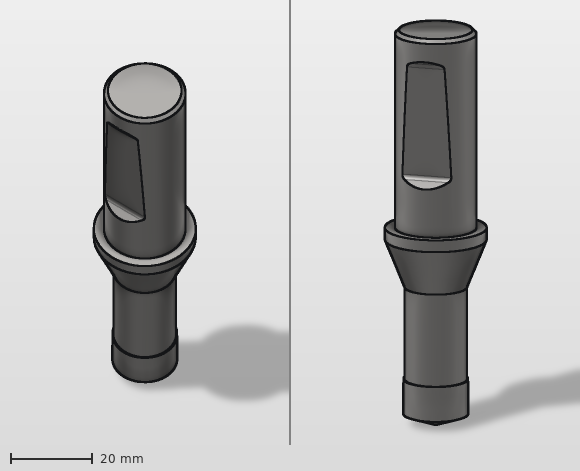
import cadquery as cq
import math

total_length = 99.9
collar_top = total_length / 2
collar_height = 3.0
cone_height = 12.0
head_top = 11.7

shank_diameter = 20.0
collar_diameter = 25.0
neck_diameter = 15.4
head_diameter = 16.0
head_top_diameter = 15.9
shank_chamfer = 1.0

point_angle = 20.0
point_height = head_diameter / 2 * math.tan(math.radians(point_angle))

flat_bottom = 64.2
flat_top = 93.0
flat_bottom_depth = 2.2
flat_slope = 2.0
flat_end_fillet = 1.6
cutter_overhang = 2.0


def make_shank_profile():
    """Body of revolution: neck, cone, collar and chamfered shank."""
    neck_radius = neck_diameter / 2
    collar_radius = collar_diameter / 2
    shank_radius = shank_diameter / 2
    collar_bottom = collar_top - collar_height
    return (
        cq.Workplane("XZ")
        .moveTo(0, head_top)
        .lineTo(neck_radius, head_top)
        .lineTo(neck_radius, collar_bottom - cone_height)
        .lineTo(collar_radius, collar_bottom)
        .lineTo(collar_radius, collar_top)
        .lineTo(shank_radius, collar_top)
        .lineTo(shank_radius, total_length - shank_chamfer)
        .lineTo(shank_radius - shank_chamfer, total_length)
        .lineTo(0, total_length)
        .close()
        .revolve(360, (0, 0, 0), (0, 1, 0))
    )


def make_flat_cutter():
    """Sloping flat with 45 degree ends, rounded where the ends meet the flat."""
    shank_radius = shank_diameter / 2
    rise = (flat_top - flat_bottom) * math.tan(math.radians(flat_slope))
    bottom_y = -shank_radius + flat_bottom_depth
    top_y = bottom_y - rise
    outer_y = -shank_radius - cutter_overhang
    return (
        cq.Workplane("YZ")
        .moveTo(bottom_y, flat_bottom)
        .lineTo(top_y, flat_top)
        .lineTo(outer_y, flat_top + top_y - outer_y)
        .lineTo(outer_y, flat_bottom - (bottom_y - outer_y))
        .close()
        .extrude(shank_radius, both=True)
        .edges("|X")
        .edges(cq.selectors.BoxSelector(
            (-shank_diameter, -shank_radius, 0),
            (shank_diameter, 0, total_length),
        ))
        .fillet(flat_end_fillet)
    )


def make_holder():
    return make_shank_profile().cut(make_flat_cutter())


def make_cutting_head():
    """Slightly back-tapered head with a conical point, seated on the end of the neck."""
    head_radius = head_diameter / 2
    return (
        cq.Workplane("XZ")
        .moveTo(0, 0)
        .lineTo(head_radius, point_height)
        .lineTo(head_top_diameter / 2, head_top)
        .lineTo(0, head_top)
        .close()
        .revolve(360, (0, 0, 0), (0, 1, 0))
    )


holder = make_holder()
cutting_head = make_cutting_head()

result = cq.Compound.makeCompound([holder.val(), cutting_head.val()])